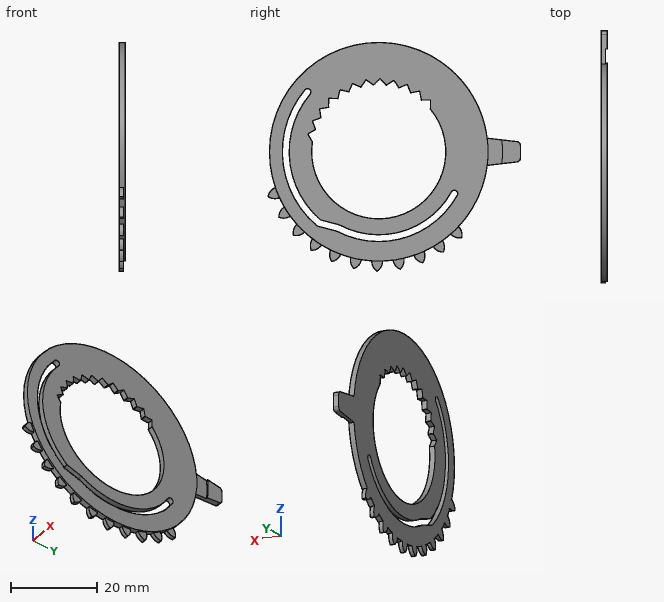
import cadquery as cq
import math


overall_length = 58.45

thickness = 1.4
ring_radius = 25.3
bore_radius = 15.5

thinned_thickness = 1.0
neck_outer_radius = 28.65

tooth_count = 11
tooth_pitch = 11.2
tooth_middle_angle = 282.0
tooth_tip_radius = 27.65
tooth_flank_radius = 26.65
tooth_half_width = 1.3
tooth_flank_half_width = 0.95

notch_count = 12
notch_pitch = 11.0
notch_first_angle = 14.0
notch_tip_radius = 16.9
notch_side = 2.05

slot_width = 1.5
inner_run_radius = 20.0
outer_run_radius = 21.5
inner_run_start = -151.0
inner_run_end = -62.0
outer_run_start = -50.0
outer_run_end = 40.0

root_overlap = 0.6
root_radius = ring_radius - root_overlap

last_tooth_angle = tooth_middle_angle + tooth_pitch * (tooth_count - 1) / 2
lever_tip_y = overall_length - tooth_tip_radius * math.cos(math.radians(last_tooth_angle))
lever_tip_half_width = 2.3
lever_root_half_width = 3.2
lever_corner_radius = 1.0


def polar(radius, angle):
    """Local point for a radius and an angle in degrees."""
    return (radius * math.cos(math.radians(angle)), radius * math.sin(math.radians(angle)))


def sketch_plane():
    """Plane on the -X face: local x runs along -Y, local y along +Z, its normal along -X."""
    return cq.Workplane(cq.Plane(origin=(0, 0, 0), xDir=(0, -1, 0), normal=(-1, 0, 0)))


def disc(radius):
    return sketch_plane().circle(radius).extrude(-thickness)


def turned(solid, angle):
    """Turn a solid about the ring axis, towards increasing angle."""
    return solid.rotate((0, 0, 0), (-1, 0, 0), angle)


def tooth(angle):
    """One pointed tooth with two bulging flanks, rooted inside the ring."""
    solid = (
        sketch_plane()
        .moveTo(root_radius, -tooth_half_width)
        .lineTo(ring_radius, -tooth_half_width)
        .threePointArc((tooth_flank_radius, -tooth_flank_half_width), (tooth_tip_radius, 0))
        .threePointArc((tooth_flank_radius, tooth_flank_half_width), (ring_radius, tooth_half_width))
        .lineTo(root_radius, tooth_half_width)
        .close()
        .extrude(-thinned_thickness)
    )
    return turned(solid, angle)


def neck_recess():
    """Band just outside the ring that thins the lever neck from the +X face."""
    return (
        cq.Workplane("YZ", origin=(thinned_thickness, 0, 0))
        .circle(neck_outer_radius)
        .circle(ring_radius)
        .extrude(thickness - thinned_thickness)
    )


def lever():
    """Tapered lever with rounded tip corners and a thinned neck, ending inside the ring."""
    solid = (
        sketch_plane()
        .moveTo(-root_radius, -lever_root_half_width)
        .lineTo(-lever_tip_y, -lever_tip_half_width)
        .lineTo(-lever_tip_y, lever_tip_half_width)
        .lineTo(-root_radius, lever_root_half_width)
        .close()
        .extrude(-thickness)
    )
    return solid.edges("|X and >Y").fillet(lever_corner_radius).cut(neck_recess())


def notch(angle):
    """Square standing on its corner, with one corner at the notch tip."""
    half_diagonal = notch_side / math.sqrt(2)
    solid = (
        sketch_plane()
        .center(notch_tip_radius - half_diagonal, 0)
        .transformed(rotate=(0, 0, 45))
        .rect(notch_side, notch_side)
        .extrude(-thickness)
    )
    return turned(solid, angle)


def arc_run(radius, start, end):
    """Arc of the slot with flat ends."""
    middle = (start + end) / 2
    inner = radius - slot_width / 2
    outer = radius + slot_width / 2
    return (
        sketch_plane()
        .moveTo(*polar(inner, start))
        .threePointArc(polar(inner, middle), polar(inner, end))
        .lineTo(*polar(outer, end))
        .threePointArc(polar(outer, middle), polar(outer, start))
        .close()
        .extrude(-thickness)
    )


def round_end(radius, angle):
    return sketch_plane().center(*polar(radius, angle)).circle(slot_width / 2).extrude(-thickness)


def slanted_link():
    """Straight piece with round ends joining the inner run to the outer run."""
    start_x, start_y = polar(inner_run_radius, inner_run_end)
    end_x, end_y = polar(outer_run_radius, outer_run_start)
    length = math.hypot(end_x - start_x, end_y - start_y)
    tilt = math.degrees(math.atan2(end_y - start_y, end_x - start_x))
    return (
        sketch_plane()
        .center((start_x + end_x) / 2, (start_y + end_y) / 2)
        .slot2D(length + slot_width, slot_width, tilt)
        .extrude(-thickness)
    )


body = disc(ring_radius).union(lever())
for index in range(tooth_count):
    offset = index - (tooth_count - 1) / 2
    body = body.union(tooth(tooth_middle_angle + offset * tooth_pitch))

body = body.cut(disc(bore_radius))
for index in range(notch_count):
    body = body.cut(notch(notch_first_angle + index * notch_pitch))

body = body.cut(arc_run(inner_run_radius, inner_run_start, inner_run_end))
body = body.cut(arc_run(outer_run_radius, outer_run_start, outer_run_end))
body = body.cut(slanted_link())
body = body.cut(round_end(inner_run_radius, inner_run_start))
body = body.cut(round_end(outer_run_radius, outer_run_end))

result = body